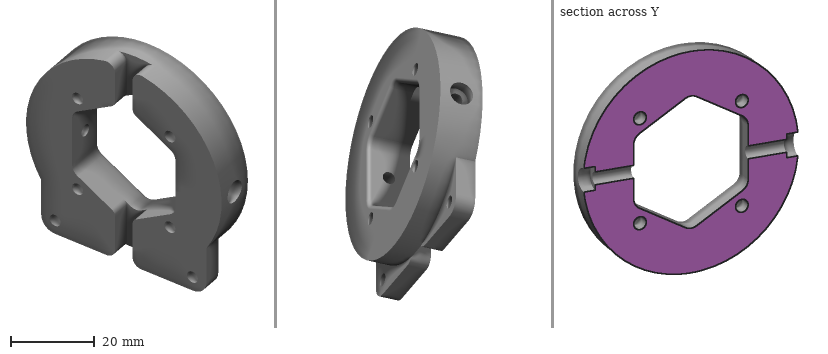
import cadquery as cq
import math

ring_diameter = 57.0
thickness = 11.0
total_height = 58.0
ring_radius = ring_diameter / 2
front_y = -thickness / 2

step_depth = 5.0
foot_half_width = 24.05
foot_corner_radius = 4.0
foot_bottom = ring_radius - total_height
channel_width = 5.1
channel_mouth_radius = 2.5
channel_inner_radius = 2.0

hex_across_flats = 30.1
hex_corner_radius = 3.0
hex_back_radius = 1.0

hole_diameter = 3.2
ring_hole_offset = 13.45
foot_hole_x = 20.0
foot_hole_z = -25.5
counterbore_diameter = 6.0
counterbore_depth = 3.2


def front_plane():
    """Sketch plane on the front face; extruding by a negative length goes into the part."""
    return cq.Workplane("XZ", origin=(0, front_y, 0))


def make_hex_bore():
    corner_diameter = hex_across_flats / math.cos(math.pi / 6)
    bore = front_plane().transformed(rotate=(0, 0, 90)).polygon(6, corner_diameter).extrude(-thickness)
    return bore.edges("|Y").fillet(hex_corner_radius)


def make_front_half(side):
    """Front layer on one side of the channel; side is 1 for +X and -1 for -X."""
    channel_x = side * channel_width / 2
    foot_x = side * foot_half_width
    shoulder_z = -math.sqrt(ring_radius**2 - foot_half_width**2)
    channel_top = math.sqrt(ring_radius**2 - channel_x**2)
    half = (
        front_plane()
        .moveTo(channel_x, channel_top)
        .threePointArc((side * ring_radius, 0), (foot_x, shoulder_z))
        .lineTo(foot_x, foot_bottom)
        .lineTo(channel_x, foot_bottom)
        .close()
        .extrude(-step_depth)
        .cut(make_hex_bore())
    )

    def upright_edges(x, z):
        """Edges along Y lying close to the given X and Z."""
        reach = 0.6
        box = cq.selectors.BoxSelector(
            (x - reach, front_y - reach, z - reach),
            (x + reach, front_y + thickness, z + reach),
        )
        return half.edges("|Y").edges(box)

    half = upright_edges(foot_x, foot_bottom).fillet(foot_corner_radius)
    for mouth_z in (channel_top, foot_bottom):
        half = upright_edges(channel_x, mouth_z).fillet(channel_mouth_radius)
    bore_z = (hex_across_flats / 2 - abs(channel_x) / 2) / math.cos(math.pi / 6)
    for inner_z in (bore_z, -bore_z):
        half = upright_edges(channel_x, inner_z).fillet(channel_inner_radius)
    return half


def make_front_holes():
    points = [(x * ring_hole_offset, z * ring_hole_offset) for x in (-1, 1) for z in (-1, 1)]
    points += [(-foot_hole_x, foot_hole_z), (foot_hole_x, foot_hole_z)]
    return front_plane().pushPoints(points).circle(hole_diameter / 2).extrude(-thickness)


def make_cross_hole():
    """Hole along X through both walls, counterbored from each outer side."""
    cutter = cq.Workplane("YZ").circle(hole_diameter / 2).extrude(ring_radius, both=True)
    for side in (-1, 1):
        floor_x = side * (ring_radius - counterbore_depth)
        counterbore = (
            cq.Workplane("YZ", origin=(floor_x, 0, 0))
            .circle(counterbore_diameter / 2)
            .extrude(side * counterbore_depth)
        )
        cutter = cutter.union(counterbore)
    return cutter


back_ring = (
    cq.Workplane("XZ", origin=(0, front_y + step_depth, 0))
    .circle(ring_radius)
    .extrude(step_depth - thickness)
    .cut(make_hex_bore())
)
back_ring = back_ring.faces(">Y").edges("%LINE").fillet(hex_back_radius)
result = back_ring.union(make_front_half(-1)).union(make_front_half(1))
result = result.cut(make_front_holes()).cut(make_cross_hole())